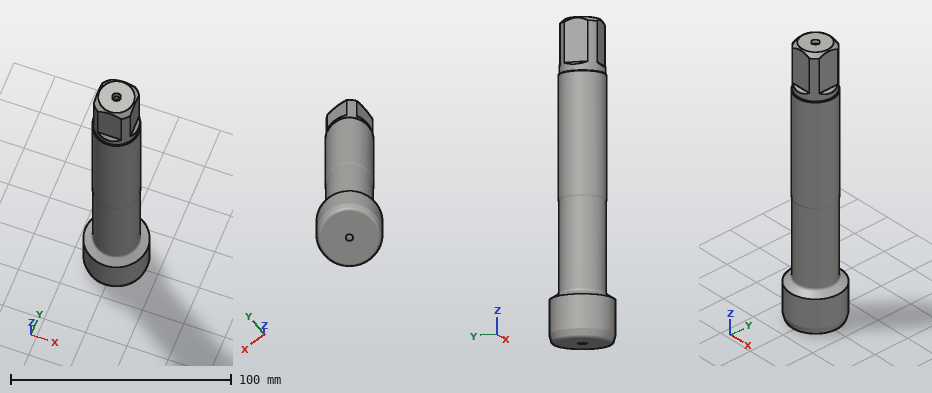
import cadquery as cq
import math

TOTAL_HEIGHT = 150.0

FOOT_DIAMETER = 30.2
FOOT_BASE_DIAMETER = 28.0
FOOT_EDGE_RADIUS = 1.5
FOOT_TAPER_HEIGHT = 4.4
FOOT_SHOULDER_HEIGHT = 20.2
FOOT_CONE_SLOPE = 57.5

BALL_DIAMETER = 9.0
BALL_PROTRUSION = 0.3

SHANK_DIAMETER = 21.8
THREAD_DIAMETER = 22.0
NECK_DIAMETER = 21.2
FILLET_RADIUS = 1.5
FILLET_TOP = 23.7
THREAD_BOTTOM = 66.3
THREAD_TOP = 124.8
THREAD_LEAD_IN = 0.9
THREAD_TOP_BEVEL = 0.5

SQUARE_WIDTH = 17.8
SQUARE_BOTTOM = 129.0
FLAT_RUNOUT_DROP = 1.4
TIP_DIAMETER = 16.5
TIP_CHAMFER_HEIGHT = 2.1

CENTRE_HOLE_DIAMETER = 2.5
COUNTERSINK_DIAMETER = 4.0
COUNTERSINK_DEPTH = 1.4
CENTRE_HOLE_DEPTH = 4.5
DRILL_TIP_HEIGHT = 0.8


def revolve_outline(outline):
    """Close a (radius, height) outline and turn it about the Z axis."""
    return outline.close().revolve(360, (0, 0, 0), (0, 1, 0))


def fillet_point(angle):
    """Point on the shank fillet, where angle is the tangent's tilt from the axis in degrees."""
    tilt = math.radians(angle)
    radius = SHANK_DIAMETER / 2 + FILLET_RADIUS * (1 - math.cos(tilt))
    height = FILLET_TOP - FILLET_RADIUS * math.sin(tilt)
    return (radius, height)


def turned_spindle():
    outline = (
        cq.Workplane("XZ")
        .moveTo(0, BALL_PROTRUSION)
        .lineTo(FOOT_BASE_DIAMETER / 2, BALL_PROTRUSION)
        .lineTo(FOOT_DIAMETER / 2, FOOT_TAPER_HEIGHT)
        .lineTo(FOOT_DIAMETER / 2, FOOT_SHOULDER_HEIGHT)
        .lineTo(*fillet_point(FOOT_CONE_SLOPE))
        .threePointArc(fillet_point(FOOT_CONE_SLOPE / 2), fillet_point(0))
        .lineTo(SHANK_DIAMETER / 2, THREAD_BOTTOM)
        .lineTo(THREAD_DIAMETER / 2, THREAD_BOTTOM + THREAD_LEAD_IN)
        .lineTo(THREAD_DIAMETER / 2, THREAD_TOP - THREAD_TOP_BEVEL)
        .lineTo(NECK_DIAMETER / 2, THREAD_TOP)
        .lineTo(NECK_DIAMETER / 2, TOTAL_HEIGHT - TIP_CHAMFER_HEIGHT)
        .lineTo(TIP_DIAMETER / 2, TOTAL_HEIGHT)
        .lineTo(0, TOTAL_HEIGHT)
    )
    return revolve_outline(outline).faces("<Z").edges().fillet(FOOT_EDGE_RADIUS)


def make_ball():
    radius = BALL_DIAMETER / 2
    return cq.Workplane("XY").sphere(radius).translate((0, 0, radius))


def flat_cutter():
    """Material outside one drive flat, with a floor that slopes down outwards."""
    inner = SQUARE_WIDTH / 2
    outer = NECK_DIAMETER / 2
    return (
        cq.Workplane("XZ")
        .polyline([
            (inner, SQUARE_BOTTOM),
            (outer, SQUARE_BOTTOM - FLAT_RUNOUT_DROP),
            (outer, TOTAL_HEIGHT),
            (inner, TOTAL_HEIGHT),
        ])
        .close()
        .extrude(outer, both=True)
    )


def centre_hole():
    top = TOTAL_HEIGHT
    outline = cq.Workplane("XZ").polyline([
        (0, top),
        (COUNTERSINK_DIAMETER / 2, top),
        (CENTRE_HOLE_DIAMETER / 2, top - COUNTERSINK_DEPTH),
        (CENTRE_HOLE_DIAMETER / 2, top - CENTRE_HOLE_DEPTH),
        (0, top - CENTRE_HOLE_DEPTH - DRILL_TIP_HEIGHT),
    ])
    return revolve_outline(outline)


def make_spindle():
    """Spindle with its drive square, centre hole and the socket that holds the ball."""
    spindle = turned_spindle()
    for angle in (0, 90, 180, 270):
        spindle = spindle.cut(flat_cutter().rotate((0, 0, 0), (0, 0, 1), angle))
    return spindle.cut(centre_hole()).cut(make_ball())


spindle = make_spindle()
ball = make_ball()
result = cq.Compound.makeCompound([spindle.val(), ball.val()])